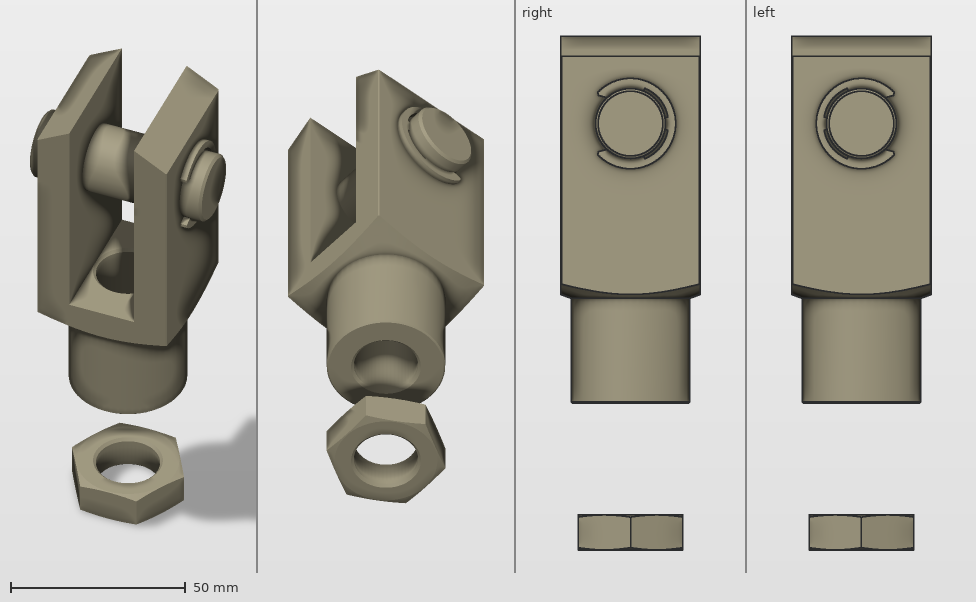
import cadquery as cq
import math

fork_width = 40.0
slot_width = fork_width / 2
fork_bottom = 42.0
fork_top = 147.0
head_bottom = 72.0
slot_floor = 82.0
bevel_angle = 30.0
underside_angle = 20.0
edge_chamfer = 0.3
neck_diameter = 34.0
neck_chamfer = 0.5

bore_diameter = 18.4
thread_diameter = 20.0
bore_chamfer = (thread_diameter - bore_diameter) / 2

pin_diameter = 20.0
pin_length = 53.0
pin_height = 122.0
pin_chamfer = 0.7

clip_radius = 13.0
clip_thickness = 1.9
clip_tip_half_gap = 9.0
clip_corner_y = -9.3
clip_corner_half_gap = 8.1
clip_throat_y = -6.6
clip_throat_half_gap = 7.4
relief_radius = 10.9
relief_start_angle = 10.0
relief_end_angle = 68.0

nut_across_flats = 30.0
nut_height = 10.1
nut_face_radius = 14.7
nut_chamfer_angle = 15.0


def tangent(angle):
    return math.tan(math.radians(angle))


def turned(profile):
    """Solid of revolution about Z from (radius, height) points."""
    return cq.Workplane("XZ").polyline(profile).close().revolve(360, (0, 0), (0, 1))


def chamfered_bore(bottom, top):
    """Cutter for a thread bore that is countersunk at both ends."""
    bore_radius = bore_diameter / 2
    mouth_radius = thread_diameter / 2
    return turned([
        (0, bottom),
        (mouth_radius, bottom),
        (bore_radius, bottom + bore_chamfer),
        (bore_radius, top - bore_chamfer),
        (mouth_radius, top),
        (0, top),
    ])


def make_head():
    """Square block with a conical underside, a slot and two bevelled prongs."""
    neck_radius = neck_diameter / 2
    cone_radius = fork_width
    cone_rise = (cone_radius - neck_radius) * tangent(underside_angle)
    envelope = turned([
        (0, head_bottom),
        (neck_radius, head_bottom),
        (cone_radius, head_bottom + cone_rise),
        (cone_radius, fork_top),
        (0, fork_top),
    ])
    half_width = fork_width / 2
    half_slot = slot_width / 2
    shoulder = fork_top - (half_width - half_slot) * tangent(bevel_angle)
    fork_outline = (
        cq.Workplane("XZ")
        .polyline([
            (-half_width, head_bottom),
            (half_width, head_bottom),
            (half_width, shoulder),
            (half_slot, fork_top),
            (half_slot, slot_floor),
            (-half_slot, slot_floor),
            (-half_slot, fork_top),
            (-half_width, shoulder),
        ])
        .close()
        .extrude(half_width, both=True)
    )
    block = (
        cq.Workplane("XY", origin=(0, 0, head_bottom))
        .rect(fork_width, fork_width)
        .extrude(fork_top - head_bottom)
        .edges("|Z")
        .chamfer(edge_chamfer)
    )
    return fork_outline.intersect(block).intersect(envelope)


def make_neck():
    return (
        cq.Workplane("XY", origin=(0, 0, fork_bottom))
        .circle(neck_diameter / 2)
        .extrude(head_bottom - fork_bottom)
        .faces("<Z")
        .edges()
        .chamfer(neck_chamfer)
    )


def make_pin():
    return (
        cq.Workplane("YZ", origin=(-pin_length / 2, 0, pin_height))
        .circle(pin_diameter / 2)
        .extrude(pin_length)
        .faces("<X or >X")
        .edges()
        .chamfer(pin_chamfer)
    )


def relief_point(radius, angle):
    """Point in the clip plane at an angle from +Y."""
    return radius * math.cos(math.radians(angle)), radius * math.sin(math.radians(angle))


def make_clip(inner_x):
    """C-shaped clip with two arc reliefs, starting at inner_x and growing along +X."""
    plane = cq.Workplane("YZ", origin=(inner_x, 0, pin_height))
    tip_y = -math.sqrt(clip_radius**2 - clip_tip_half_gap**2)
    mouth = (
        plane.polyline([
            (-clip_radius, clip_tip_half_gap),
            (tip_y, clip_tip_half_gap),
            (clip_corner_y, clip_corner_half_gap),
            (clip_throat_y, clip_throat_half_gap),
            (clip_throat_y, -clip_throat_half_gap),
            (clip_corner_y, -clip_corner_half_gap),
            (tip_y, -clip_tip_half_gap),
            (-clip_radius, -clip_tip_half_gap),
        ])
        .close()
        .extrude(clip_thickness)
    )
    clip = plane.circle(clip_radius).extrude(clip_thickness).cut(mouth)
    middle_angle = (relief_start_angle + relief_end_angle) / 2
    for side in (-1, 1):
        relief = (
            plane.lineTo(*relief_point(relief_radius, side * relief_start_angle))
            .threePointArc(
                relief_point(relief_radius, side * middle_angle),
                relief_point(relief_radius, side * relief_end_angle),
            )
            .close()
            .extrude(clip_thickness)
        )
        clip = clip.cut(relief)
    return clip


def make_fork():
    """Fork head, neck, pin and clips as one solid."""
    fork = make_head().union(make_neck()).cut(chamfered_bore(fork_bottom, slot_floor))
    for inner_x in (fork_width / 2, -fork_width / 2 - clip_thickness):
        fork = fork.union(make_clip(inner_x))
    return fork.union(make_pin())


def make_nut():
    """Hexagon nut with turned corners and two opposite corners on the X axis."""
    across_corners = nut_across_flats / math.cos(math.radians(30))
    corner_radius = across_corners / 2
    corner_drop = (corner_radius - nut_face_radius) * tangent(nut_chamfer_angle)
    hexagon = cq.Workplane("XY").polygon(6, across_corners).extrude(nut_height)
    envelope = turned([
        (0, 0),
        (nut_face_radius, 0),
        (corner_radius, corner_drop),
        (corner_radius, nut_height - corner_drop),
        (nut_face_radius, nut_height),
        (0, nut_height),
    ])
    return hexagon.intersect(envelope).cut(chamfered_bore(0, nut_height))


fork = make_fork()
nut = make_nut()

result = cq.Compound.makeCompound([fork.solids().val(), nut.solids().val()])